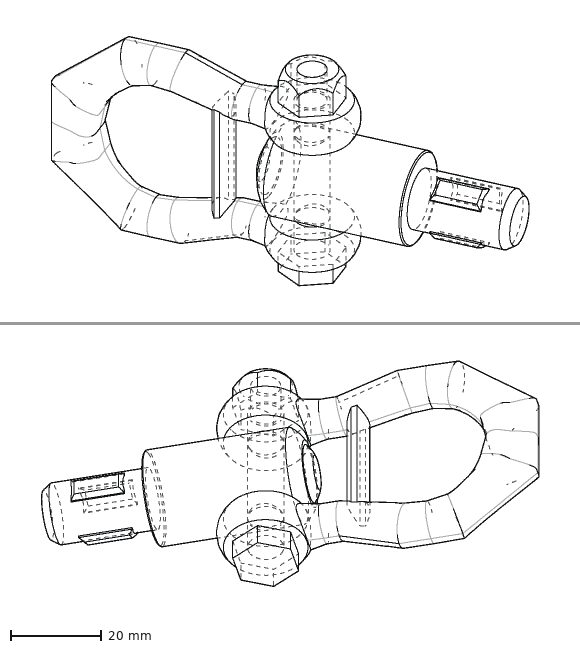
import cadquery as cq
import math


SHANK_RADIUS = 4.0
THREAD_RADIUS = 3.3
HEX_ACROSS_FLATS = 13.2
NUT_HEIGHT = 8.1
HEAD_HEIGHT = 5.0
NUT_TOP_RADIUS = 5.9
NUT_CHAMFER_DEPTH = 2.5

EYE_BOTTOM = 11.09
EYE_HEIGHT = 8.5
EYE_RADIUS = 10.87
EYE_FLAT_RADIUS = 9.4
EYE_TOP = EYE_BOTTOM + EYE_HEIGHT

BOW_LEFT = -61.9
BOW_HALF_HEIGHT = 24.6
BOW_HALF_WIDTH = 4.85
FLAT_HALF_HEIGHT = 10.3
TOP_START = -44.8
TOP_MIDDLE = -37.6
TOP_END = -30.3
TOP_END_INNER_X = -32.9
TOP_END_INNER_Z = 14.6
OPENING_RADIUS = 15.2
OPENING_CENTER = -35.5
CORNER_ANGLE = 22
DIAGONAL_ANGLE = 45
TOP_START_ANGLE = 66
TOP_MIDDLE_ANGLE = 83

LEG_START = -16.7
LEG_INNER_START = -17.7
LEG_END = -7.8
LEG_SINK = 0.2
FLARE_START = -13.2
FLARE_HALF_WIDTH = 7.0

TIP_HALF_WIDTH = 1.9
TIP_ROUND = 0.17
TAPER_DEPTH = 8.8
INNER_ROUND = 2.2
SECTION_SHARES = (0, 0.045, 0.096, 0.157, 0.31, 0.475, 0.64, 0.745, 0.845, 1)

BAR_CENTER = -21.1
BAR_THICKNESS = 4.9
BAR_HALF_WIDTH = 4.1
BAR_EDGE = 1.3
BAR_REACH = 17.0

HOUSING_RADIUS = 10.87
HOUSING_LEFT = -7.1
HOUSING_RIGHT = 25.6
HOUSING_CHAMFER = 0.3
NOSE_LEFT = -10.0
NOSE_RADIUS = 7.6
NOSE_BULGE = 0.28
BUTTON_LEFT = -11.7
BUTTON_RADIUS = 6.6
BUTTON_FACE_RADIUS = 3.9
BUTTON_BULGE = 0.2
SHAFT_RADIUS = 6.97
SHAFT_RIGHT = BOW_LEFT + 111.5
SHAFT_CHAMFER_LENGTH = 2.0
SHAFT_CHAMFER_DEPTH = 1.3

KEY_COUNT = 3
KEY_LEFT = 30.5
KEY_LENGTH = 12.1
KEY_WIDTH = 5.8
KEY_TOP_RADIUS = 7.7
KEY_BASE_RADIUS = 5.6
KEY_CHAMFER = 1.0


def bulged(start, end, bulge):
    """Point beside the middle of a chord, where an arc over the chord passes."""
    along_x = end[0] - start[0]
    along_y = end[1] - start[1]
    length = math.hypot(along_x, along_y)
    return (
        (start[0] + end[0]) / 2 - bulge * along_y / length,
        (start[1] + end[1]) / 2 + bulge * along_x / length,
    )


def between(start, end, share):
    """Point on the line from start to end, at a share of its length."""
    return (
        start[0] + (end[0] - start[0]) * share,
        start[1] + (end[1] - start[1]) * share,
    )


def bolt_axis_cylinder(radius, bottom, top):
    return cq.Workplane("XY", origin=(0, 0, bottom)).circle(radius).extrude(top - bottom)


def hexagon(bottom, height):
    """Hexagonal prism with two flats facing +X and -X."""
    across_corners = HEX_ACROSS_FLATS / math.cos(math.pi / 6)
    prism = cq.Workplane("XY").polygon(6, across_corners).extrude(height)
    return prism.rotate((0, 0, 0), (0, 0, 1), 30).translate((0, 0, bottom))


def make_bolt():
    head = hexagon(-EYE_TOP - HEAD_HEIGHT, HEAD_HEIGHT)
    shank = bolt_axis_cylinder(SHANK_RADIUS, -EYE_TOP, EYE_TOP)
    thread = bolt_axis_cylinder(THREAD_RADIUS, EYE_TOP, EYE_TOP + NUT_HEIGHT)
    return head.union(shank).union(thread)


def make_nut():
    top = EYE_TOP + NUT_HEIGHT
    corner_radius = HEX_ACROSS_FLATS / 2 / math.cos(math.pi / 6)
    envelope = (
        cq.Workplane("XZ")
        .moveTo(0, EYE_TOP)
        .lineTo(corner_radius, EYE_TOP)
        .lineTo(corner_radius, top - NUT_CHAMFER_DEPTH)
        .lineTo(NUT_TOP_RADIUS, top)
        .lineTo(0, top)
        .close()
        .revolve(360, (0, 0, 0), (0, 1, 0))
    )
    nut = hexagon(EYE_TOP, NUT_HEIGHT).intersect(envelope)
    return nut.cut(bolt_axis_cylinder(THREAD_RADIUS, EYE_TOP, top))


def make_swivel_profile():
    housing_edge = (HOUSING_LEFT, HOUSING_RADIUS)
    nose_edge = (NOSE_LEFT, NOSE_RADIUS)
    button_edge = (NOSE_LEFT, BUTTON_RADIUS)
    face_edge = (BUTTON_LEFT, BUTTON_FACE_RADIUS)
    return (
        cq.Workplane("XY")
        .moveTo(BUTTON_LEFT, 0)
        .lineTo(*face_edge)
        .threePointArc(bulged(face_edge, button_edge, BUTTON_BULGE), button_edge)
        .lineTo(*nose_edge)
        .threePointArc(bulged(nose_edge, housing_edge, NOSE_BULGE), housing_edge)
        .lineTo(HOUSING_RIGHT - HOUSING_CHAMFER, HOUSING_RADIUS)
        .lineTo(HOUSING_RIGHT, HOUSING_RADIUS - HOUSING_CHAMFER)
        .lineTo(HOUSING_RIGHT, SHAFT_RADIUS)
        .lineTo(SHAFT_RIGHT - SHAFT_CHAMFER_LENGTH, SHAFT_RADIUS)
        .lineTo(SHAFT_RIGHT, SHAFT_RADIUS - SHAFT_CHAMFER_DEPTH)
        .lineTo(SHAFT_RIGHT, 0)
        .close()
    )


def make_key(angle):
    """Key on the shaft with its outer edges chamfered; angle is turned from +Y about X."""
    key = (
        cq.Workplane("XZ", origin=(KEY_LEFT + KEY_LENGTH / 2, KEY_BASE_RADIUS, 0))
        .rect(KEY_LENGTH, KEY_WIDTH)
        .extrude(KEY_BASE_RADIUS - KEY_TOP_RADIUS)
        .faces(">Y")
        .chamfer(KEY_CHAMFER)
    )
    return key.rotate((0, 0, 0), (1, 0, 0), angle)


def make_swivel():
    swivel = make_swivel_profile().revolve(360, (0, 0, 0), (1, 0, 0))
    for index in range(KEY_COUNT):
        swivel = swivel.union(make_key(index * 360 / KEY_COUNT))
    return swivel.cut(bolt_axis_cylinder(SHANK_RADIUS, -HOUSING_RADIUS, HOUSING_RADIUS))


def opening_point(angle):
    """Point on the round end of the opening; angle from -X, positive toward +Z."""
    turn = math.radians(angle)
    return (
        OPENING_CENTER - OPENING_RADIUS * math.cos(turn),
        OPENING_RADIUS * math.sin(turn),
    )


def bow_section(outer, inner, roundness, half_width=BOW_HALF_WIDTH):
    """Closed smooth section of the bow from an outer to an inner point (x, z).

    Roundness 0 is a wedge with a narrow outer edge, roundness 1 an ellipse.
    """
    depth = math.hypot(inner[0] - outer[0], inner[1] - outer[1])
    tip_corner = (0, TIP_HALF_WIDTH)
    taper_end = (TAPER_DEPTH, half_width)
    corner_cut = INNER_ROUND * (1 - math.sqrt(0.5))
    wedge = [
        (0, 0),
        (0, TIP_HALF_WIDTH * 0.4),
        (TIP_ROUND, TIP_HALF_WIDTH * 0.85),
        between(tip_corner, taper_end, 0.12),
        between(tip_corner, taper_end, 0.4),
        between(tip_corner, taper_end, 0.7),
        taper_end,
        (depth - corner_cut, half_width - corner_cut),
        (depth, half_width - INNER_ROUND),
        (depth, 0),
    ]
    half = []
    for share, wedge_point in zip(SECTION_SHARES, wedge):
        turn = math.pi * share
        ellipse_point = (depth / 2 * (1 - math.cos(turn)), half_width * math.sin(turn))
        half.append(between(wedge_point, ellipse_point, roundness))

    edges = []
    for side in (1, -1):
        points = []
        for along, across in half:
            x, z = between(outer, inner, along / depth)
            points.append(cq.Vector(x, side * across, z))
        speed = math.pi * half_width * side
        tangents = [cq.Vector(0, speed, 0), cq.Vector(0, -speed, 0)]
        edge = cq.Edge.makeSpline(points, tangents=tangents, parameters=SECTION_SHARES, scale=False)
        edges.append(edge)
    return cq.Wire.assembleEdges(edges)


def span(*sections):
    """Smooth stretch of the bow through the given sections."""
    return cq.Workplane(cq.Solid.makeLoft([bow_section(*section) for section in sections], False))


def make_upper_half_ring():
    front = ((BOW_LEFT, 0), opening_point(0), 0)
    corner = ((BOW_LEFT, FLAT_HALF_HEIGHT), opening_point(CORNER_ANGLE), 0)
    diagonal = (
        between((BOW_LEFT, FLAT_HALF_HEIGHT), (TOP_START, BOW_HALF_HEIGHT), 0.5),
        opening_point(DIAGONAL_ANGLE),
        0.5,
    )
    top_start = ((TOP_START, BOW_HALF_HEIGHT), opening_point(TOP_START_ANGLE), 1)
    top_middle = ((TOP_MIDDLE, BOW_HALF_HEIGHT), opening_point(TOP_MIDDLE_ANGLE), 1)
    top_end = ((TOP_END, BOW_HALF_HEIGHT), (TOP_END_INNER_X, TOP_END_INNER_Z), 1)
    leg_start = ((LEG_START, EYE_TOP), (LEG_INNER_START, EYE_BOTTOM), 1)
    flare_start = ((FLARE_START, EYE_TOP), (FLARE_START, EYE_BOTTOM), 1)
    leg_end = (
        (LEG_END, EYE_TOP - LEG_SINK),
        (LEG_END, EYE_BOTTOM + LEG_SINK),
        1,
        FLARE_HALF_WIDTH,
    )
    half = span(front, corner)
    for part in (
        span(corner, diagonal, top_start),
        span(top_start, top_middle),
        span(top_middle, top_end),
        span(top_end, leg_start),
        span(leg_start, flare_start),
        span(flare_start, leg_end),
    ):
        half = half.union(part)
    return half


def make_eye():
    flat_bottom = (EYE_FLAT_RADIUS, EYE_BOTTOM)
    flat_top = (EYE_FLAT_RADIUS, EYE_TOP)
    return (
        cq.Workplane("XZ")
        .moveTo(0, EYE_BOTTOM)
        .lineTo(*flat_bottom)
        .threePointArc((EYE_RADIUS, (EYE_BOTTOM + EYE_TOP) / 2), flat_top)
        .lineTo(0, EYE_TOP)
        .close()
        .revolve(360, (0, 0, 0), (0, 1, 0))
    )


def make_crossbar():
    """Lens-shaped bar with blunt edges, reaching into both legs."""
    edge_left = BAR_CENTER - BAR_EDGE / 2
    edge_right = BAR_CENTER + BAR_EDGE / 2
    return (
        cq.Workplane("XY", origin=(0, 0, -BAR_REACH))
        .moveTo(edge_left, -BAR_HALF_WIDTH)
        .lineTo(edge_right, -BAR_HALF_WIDTH)
        .threePointArc((BAR_CENTER + BAR_THICKNESS / 2, 0), (edge_right, BAR_HALF_WIDTH))
        .lineTo(edge_left, BAR_HALF_WIDTH)
        .threePointArc((BAR_CENTER - BAR_THICKNESS / 2, 0), (edge_left, -BAR_HALF_WIDTH))
        .close()
        .extrude(2 * BAR_REACH)
    )


def make_bow():
    upper = make_upper_half_ring().union(make_eye())
    lower = upper.mirror("XY")
    bow = upper.union(lower).union(make_crossbar())
    return bow.cut(bolt_axis_cylinder(SHANK_RADIUS, -EYE_TOP, EYE_TOP))


bow = make_bow()
swivel = make_swivel()
bolt = make_bolt()
nut = make_nut()

result = cq.Compound.makeCompound([bow.val(), swivel.val(), bolt.val(), nut.val()])